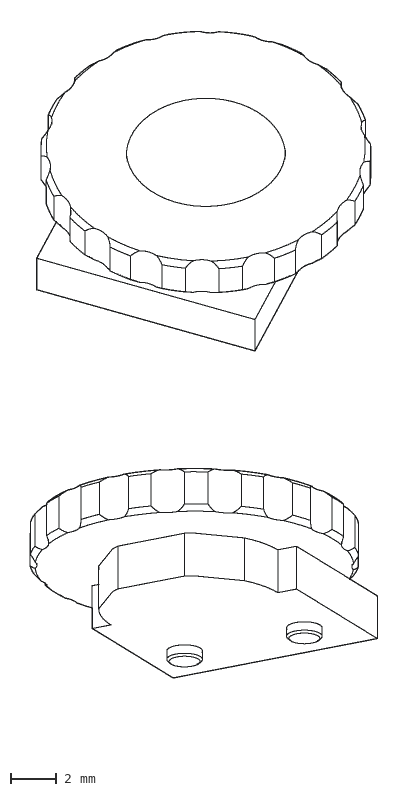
import cadquery as cq
import math


knob_radius = 7.25
knob_height = 2.0
knob_chamfer = 0.25
tooth_count = 18
groove_width = 1.48
groove_floor_radius = 6.92
recess_radius = 3.5
recess_depth = 0.6
recess_rim_fillet = 0.3

base_height = 2.0
base_width = 10.3
base_front = 7.26
base_back = 3.85
back_radius = 4.2
back_flat_distance = 4.05
back_flat_angle = 45.0

peg_radius = 0.78
peg_length = 0.5
peg_chamfer = 0.1
peg_offset_x = 3.02
peg_y = -4.5


def make_knob():
    """Disc with a scalloped rim, chamfered edges and a round recess in its top."""
    disc = cq.Workplane("XY").circle(knob_radius).extrude(knob_height)
    disc = disc.faces("<Z or >Z").edges().chamfer(knob_chamfer)
    recess = (
        cq.Workplane("XY", origin=(0, 0, knob_height - recess_depth))
        .circle(recess_radius)
        .extrude(recess_depth)
    )
    disc = disc.cut(recess)
    recess_rim = cq.selectors.RadiusNthSelector(0)
    disc = disc.faces(">Z").edges(recess_rim).fillet(recess_rim_fillet)
    return disc.cut(make_grip_grooves())


def make_grip_grooves():
    """Cylinders that scoop the grip grooves, half a tooth pitch away from the X axis."""
    half_width = groove_width / 2
    rim_chord_distance = math.sqrt(knob_radius**2 - half_width**2)
    groove_depth = rim_chord_distance - groove_floor_radius
    groove_radius = (half_width**2 + groove_depth**2) / (2 * groove_depth)
    pitch = 360 / tooth_count
    return (
        cq.Workplane("XY")
        .polarArray(groove_floor_radius + groove_radius, pitch / 2, 360, tooth_count)
        .circle(groove_radius)
        .extrude(knob_height)
    )


def make_base():
    """Rectangular front half, rounded back half with flats, and two pegs underneath."""
    front_half = (
        cq.Workplane("XY")
        .rect(base_width, base_front)
        .extrude(-base_height)
        .translate((0, -base_front / 2, 0))
    )
    base = front_half.union(make_base_back())
    for x in (-peg_offset_x, peg_offset_x):
        base = base.union(make_peg(x))
    return base


def make_base_back():
    """Round boss cut flat at the back and on both back corners."""
    boss = cq.Workplane("XY").circle(back_radius).extrude(-base_height)
    flats = (
        (90 - back_flat_angle, back_flat_distance),
        (90, base_back),
        (90 + back_flat_angle, back_flat_distance),
    )
    for angle, distance in flats:
        trim = (
            cq.Workplane("XY")
            .rect(back_radius, 2 * back_radius)
            .extrude(-base_height)
            .translate((distance + back_radius / 2, 0, 0))
            .rotate((0, 0, 0), (0, 0, 1), angle)
        )
        boss = boss.cut(trim)
    return boss


def make_peg(x):
    """Locating peg with a chamfered tip, hanging from the underside of the base."""
    return (
        cq.Workplane("XY", origin=(x, peg_y, -base_height))
        .circle(peg_radius)
        .extrude(-peg_length)
        .faces("<Z")
        .chamfer(peg_chamfer)
    )


knob = make_knob()
base = make_base()

result = cq.Compound.makeCompound([knob.val(), base.val()])